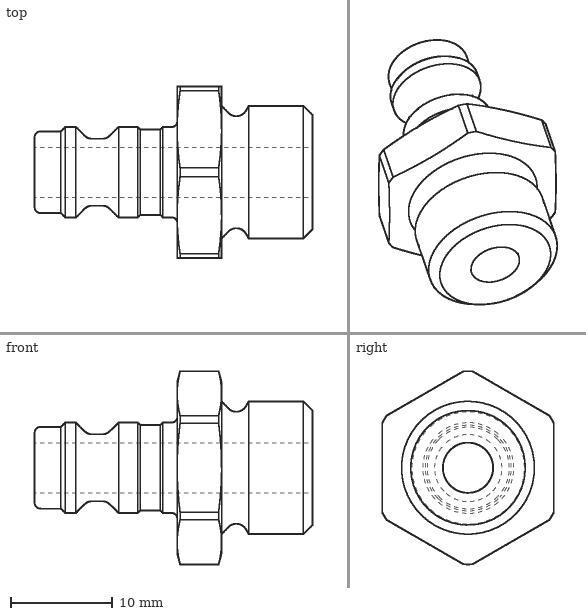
import cadquery as cq
import math

LENGTH = 27.5
BORE_DIAMETER = 4.95

TIP_RADIUS = 8.1 / 2
TIP_FILLET = 0.6
COLLAR_RADIUS = 9.0 / 2
COLLAR_START = 3.05
COLLAR_END = 4.1
LATCH_GROOVE_RADIUS = 6.65 / 2
LATCH_GROOVE_FILLET = 1.0
LATCH_FLOOR_START = 5.66
LATCH_FLOOR_END = 6.75
SHOULDER_ANGLE = 45.0
BAND_RADIUS = 8.5 / 2
BAND_START = 10.45
BAND_END = 12.45

HEX_START = 14.1
HEX_END = 18.5
ACROSS_FLATS = 17.0
ACROSS_CORNERS = 19.15
HEX_FACE_DIAMETER = 16.97
HEX_CHAMFER_ANGLE = 15.0
HEX_ROOT_FILLET = 0.5

THREAD_RADIUS = 13.15 / 2
THREAD_END_CHAMFER = 0.9
RELIEF_RADIUS = 5.55
RELIEF_ARC = 1.1
RELIEF_BOTTOM = 19.96
RELIEF_ENTRY_ANGLE = 45.0
RELIEF_EXIT_ANGLE = 60.0


def groove_arc_point(bottom, floor_radius, arc_radius, angle):
    """Point on a concave groove arc, at an angle from its lowest point (negative towards the tip)."""
    turn = math.radians(angle)
    return (
        bottom + arc_radius * math.sin(turn),
        floor_radius + arc_radius * (1 - math.cos(turn)),
    )


def cone_end(start, radius, angle):
    """Point where a cone rising along +X from start, at an angle to the axis, reaches a radius."""
    return (start[0] + (radius - start[1]) / math.tan(math.radians(angle)), radius)


def plug_end():
    """Plug from the tip to the hexagon face, all of its conical shoulders at 45 degrees."""

    def latch_arc(bottom, angle):
        return groove_arc_point(bottom, LATCH_GROOVE_RADIUS, LATCH_GROOVE_FILLET, angle)

    collar_step = COLLAR_RADIUS - TIP_RADIUS
    band_step = COLLAR_RADIUS - BAND_RADIUS
    latch_cone_start = latch_arc(LATCH_FLOOR_END, SHOULDER_ANGLE)
    tip_arc_middle = TIP_FILLET * (1 - math.sqrt(0.5))
    root_arc_run = HEX_ROOT_FILLET * math.sqrt(0.5)
    root_start = HEX_START - HEX_ROOT_FILLET

    return (
        cq.Workplane("XY")
        .lineTo(0, TIP_RADIUS - TIP_FILLET)
        .threePointArc((tip_arc_middle, TIP_RADIUS - tip_arc_middle), (TIP_FILLET, TIP_RADIUS))
        .lineTo(COLLAR_START - collar_step, TIP_RADIUS)
        .lineTo(COLLAR_START, COLLAR_RADIUS)
        .lineTo(COLLAR_END, COLLAR_RADIUS)
        .lineTo(*latch_arc(LATCH_FLOOR_START, -SHOULDER_ANGLE))
        .threePointArc(
            latch_arc(LATCH_FLOOR_START, -SHOULDER_ANGLE / 2),
            (LATCH_FLOOR_START, LATCH_GROOVE_RADIUS),
        )
        .lineTo(LATCH_FLOOR_END, LATCH_GROOVE_RADIUS)
        .threePointArc(latch_arc(LATCH_FLOOR_END, SHOULDER_ANGLE / 2), latch_cone_start)
        .lineTo(*cone_end(latch_cone_start, COLLAR_RADIUS, SHOULDER_ANGLE))
        .lineTo(BAND_START - band_step, COLLAR_RADIUS)
        .lineTo(BAND_START, BAND_RADIUS)
        .lineTo(BAND_END, BAND_RADIUS)
        .lineTo(BAND_END + band_step, COLLAR_RADIUS)
        .lineTo(root_start, COLLAR_RADIUS)
        .threePointArc(
            (root_start + root_arc_run, COLLAR_RADIUS + HEX_ROOT_FILLET - root_arc_run),
            (HEX_START, COLLAR_RADIUS + HEX_ROOT_FILLET),
        )
        .lineTo(HEX_START, 0)
        .close()
        .revolve(360, (0, 0, 0), (1, 0, 0))
    )


def hexagon():
    """Hexagon with two flats facing +Y and -Y, its corners rounded and chamfered by turning."""
    sharp_corners = ACROSS_FLATS / math.cos(math.radians(30))
    prism = (
        cq.Workplane("YZ", origin=(HEX_START, 0, 0))
        .transformed(rotate=(0, 0, 90))
        .polygon(6, sharp_corners)
        .extrude(HEX_END - HEX_START)
    )
    corner_radius = ACROSS_CORNERS / 2
    face_radius = HEX_FACE_DIAMETER / 2
    chamfer_run = (corner_radius - face_radius) * math.tan(math.radians(HEX_CHAMFER_ANGLE))
    turned_blank = (
        cq.Workplane("XY")
        .moveTo(HEX_START, 0)
        .lineTo(HEX_START, face_radius)
        .lineTo(HEX_START + chamfer_run, corner_radius)
        .lineTo(HEX_END - chamfer_run, corner_radius)
        .lineTo(HEX_END, face_radius)
        .lineTo(HEX_END, 0)
        .close()
        .revolve(360, (0, 0, 0), (1, 0, 0))
    )
    return prism.intersect(turned_blank)


def threaded_end():
    """Relief groove behind the hexagon and the plain cylinder of the thread."""

    def relief_arc(angle):
        return groove_arc_point(RELIEF_BOTTOM, RELIEF_RADIUS, RELIEF_ARC, angle)

    exit_cone_start = relief_arc(RELIEF_EXIT_ANGLE)
    return (
        cq.Workplane("XY")
        .moveTo(HEX_END, 0)
        .lineTo(HEX_END, THREAD_RADIUS)
        .lineTo(*relief_arc(-RELIEF_ENTRY_ANGLE))
        .threePointArc((RELIEF_BOTTOM, RELIEF_RADIUS), exit_cone_start)
        .lineTo(*cone_end(exit_cone_start, THREAD_RADIUS, RELIEF_EXIT_ANGLE))
        .lineTo(LENGTH - THREAD_END_CHAMFER, THREAD_RADIUS)
        .lineTo(LENGTH, THREAD_RADIUS - THREAD_END_CHAMFER)
        .lineTo(LENGTH, 0)
        .close()
        .revolve(360, (0, 0, 0), (1, 0, 0))
    )


bore = cq.Workplane("YZ").circle(BORE_DIAMETER / 2).extrude(LENGTH)

result = plug_end().union(hexagon()).union(threaded_end()).cut(bore)